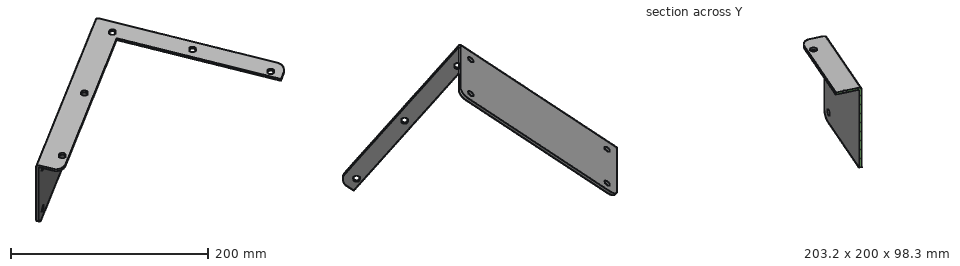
import cadquery as cq

length_x = 203.2
length_y = 200.0
height = 98.3

thickness = 3.3
bend_outer_radius = 4.3
bend_inner_radius = bend_outer_radius - thickness
corner_radius = 10.0
hole_diameter = 7.1

side_arm_width = 28.5
back_arm_width = 19.0

end_hole_inset = 12.8
middle_hole_inset = 9.5
bend_hole_x = 22.0
middle_hole_x = 18.9
plate_hole_top = 19.0
cut_margin = 2.0

back_y = length_y / 2
front_y = -back_y
far_hole_x = length_x - end_hole_inset
back_hole_y = back_y - end_hole_inset
front_hole_y = -(back_y - plate_hole_top)


def make_bent_sheet():
    """Full-width L-bent sheet: a vertical plate and a horizontal flange."""
    sheet = (
        cq.Workplane("XZ")
        .polyline([
            (0, 0),
            (length_x, 0),
            (length_x, -thickness),
            (thickness, -thickness),
            (thickness, -height),
            (0, -height),
        ])
        .close()
        .extrude(length_y / 2, both=True)
    )
    sheet = sheet.edges(cq.selectors.NearestToPointSelector((0, 0, 0))).fillet(bend_outer_radius)
    inner_corner = cq.selectors.NearestToPointSelector((thickness, 0, -thickness))
    return sheet.edges(inner_corner).fillet(bend_inner_radius)


def cut_flange_to_arms(body):
    """Remove the inside of the flange, leaving an L of two arms."""
    cutter = (
        cq.Workplane("XY")
        .workplane(offset=-thickness - cut_margin)
        .moveTo(side_arm_width, front_y - cut_margin)
        .lineTo(length_x + cut_margin, front_y - cut_margin)
        .lineTo(length_x + cut_margin, back_y - back_arm_width)
        .lineTo(side_arm_width, back_y - back_arm_width)
        .close()
        .extrude(thickness + 2 * cut_margin)
    )
    return body.cut(cutter)


def round_corners(body):
    """Round the arm ends and the lower corners of the plate."""
    corners = [
        (length_x, back_y, -thickness / 2),
        (side_arm_width, front_y, -thickness / 2),
        (thickness / 2, back_y, -height),
        (thickness / 2, front_y, -height),
    ]
    for corner in corners:
        body = body.edges(cq.selectors.NearestToPointSelector(corner)).fillet(corner_radius)
    return body


def drill_flange(body):
    """Drill each arm at its ends and its middle."""
    holes = [
        (bend_hole_x, back_hole_y),
        ((bend_hole_x + far_hole_x) / 2, back_y - middle_hole_inset),
        (far_hole_x, back_hole_y),
        (middle_hole_x, (back_hole_y + front_hole_y) / 2),
        (bend_hole_x, front_hole_y),
    ]
    drills = (
        cq.Workplane("XY")
        .workplane(offset=-thickness - cut_margin)
        .pushPoints(holes)
        .circle(hole_diameter / 2)
        .extrude(thickness + 2 * cut_margin)
    )
    return body.cut(drills)


def drill_plate(body):
    """Drill the four holes near the corners of the vertical plate."""
    holes = [
        (side * back_hole_y, z)
        for side in (-1, 1)
        for z in (-plate_hole_top, -height + end_hole_inset)
    ]
    drills = (
        cq.Workplane("YZ")
        .workplane(offset=-cut_margin)
        .pushPoints(holes)
        .circle(hole_diameter / 2)
        .extrude(thickness + 2 * cut_margin)
    )
    return body.cut(drills)


bracket = make_bent_sheet()
bracket = cut_flange_to_arms(bracket)
bracket = round_corners(bracket)
bracket = drill_flange(bracket)
result = drill_plate(bracket)